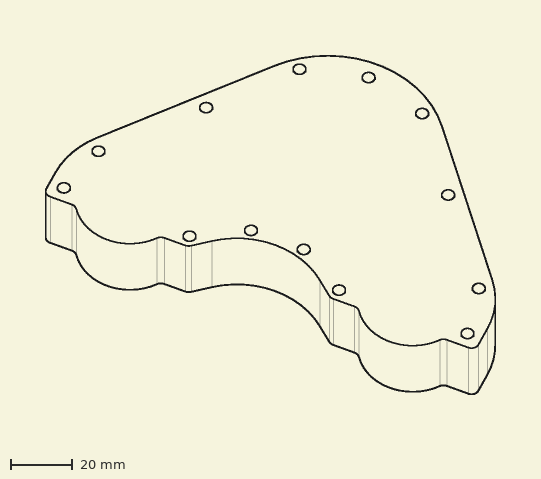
import cadquery as cq
import math

length = 153.1
height = 25.0
half_length = length / 2

crown_radius = 38.3
crown_top_y = 92.0
crown_y = crown_top_y - crown_radius
shoulder_radius = 29.4
shoulder_x = half_length - shoulder_radius
shoulder_y = 9.5

lobe_x = 50.0
lobe_y = 9.5
lobe_radius = 17.8

relief_top_y = 12.1
relief_radius = 29.7
relief_angle = math.radians(40)
relief_y = relief_top_y - relief_radius

corner_radius = 2.5
lobe_fillet = 2.6
relief_fillet = 2.8

hole_diameter = 4.1
crown_hole = (0, 86.0)
right_holes = [
    (21.7, 80.0),
    (42.9, 53.5),
    (67.4, 23.1),
    (71.5, 5.0),
    (26.5, 4.0),
    (9.3, 14.2),
]


def on_circle(center_x, center_y, radius, angle):
    return (center_x + radius * math.cos(angle), center_y + radius * math.sin(angle))


def mirrored(point):
    return (-point[0], point[1])


center_rise = crown_y - shoulder_y
center_distance = math.hypot(shoulder_x, center_rise)
center_line_angle = math.atan2(center_rise, -shoulder_x)
radius_step = shoulder_radius - crown_radius
flank_angle = center_line_angle - math.acos(radius_step / center_distance)


def make_body():
    crown_end = on_circle(0, crown_y, crown_radius, flank_angle)
    shoulder_start = on_circle(shoulder_x, shoulder_y, shoulder_radius, flank_angle)
    shoulder_middle = on_circle(shoulder_x, shoulder_y, shoulder_radius, flank_angle / 2)
    lobe_half_width = math.sqrt(lobe_radius**2 - lobe_y**2)
    lobe_outer = (lobe_x + lobe_half_width, 0)
    lobe_inner = (lobe_x - lobe_half_width, 0)
    lobe_bottom = (lobe_x, lobe_y - lobe_radius)
    relief_end = on_circle(0, relief_y, relief_radius, math.pi / 2 - relief_angle)
    relief_foot = (relief_end[0] + relief_end[1] / math.tan(relief_angle), 0)

    body = (
        cq.Workplane("XY")
        .moveTo(*mirrored(crown_end))
        .threePointArc((0, crown_top_y), crown_end)
        .lineTo(*shoulder_start)
        .threePointArc(shoulder_middle, (half_length, shoulder_y))
        .lineTo(half_length, 0)
        .lineTo(*lobe_outer)
        .threePointArc(lobe_bottom, lobe_inner)
        .lineTo(*relief_foot)
        .lineTo(*relief_end)
        .threePointArc((0, relief_top_y), mirrored(relief_end))
        .lineTo(*mirrored(relief_foot))
        .lineTo(*mirrored(lobe_inner))
        .threePointArc(mirrored(lobe_bottom), mirrored(lobe_outer))
        .lineTo(-half_length, 0)
        .lineTo(-half_length, shoulder_y)
        .threePointArc(mirrored(shoulder_middle), mirrored(shoulder_start))
        .close()
        .extrude(height)
    )
    body = round_edges(body, (half_length, 0), corner_radius)
    body = round_edges(body, lobe_outer, lobe_fillet)
    body = round_edges(body, lobe_inner, lobe_fillet)
    return round_edges(body, relief_foot, relief_fillet)


def round_edges(body, corner, radius):
    """Round the upright edge at a corner and its mirror image."""
    for x, y in (corner, mirrored(corner)):
        edge = cq.selectors.NearestToPointSelector((x, y, height / 2))
        body = body.edges("|Z").edges(edge).fillet(radius)
    return body


hole_centers = [crown_hole] + right_holes + [mirrored(hole) for hole in right_holes]
holes = cq.Workplane("XY").pushPoints(hole_centers).circle(hole_diameter / 2).extrude(height)

result = make_body().cut(holes)